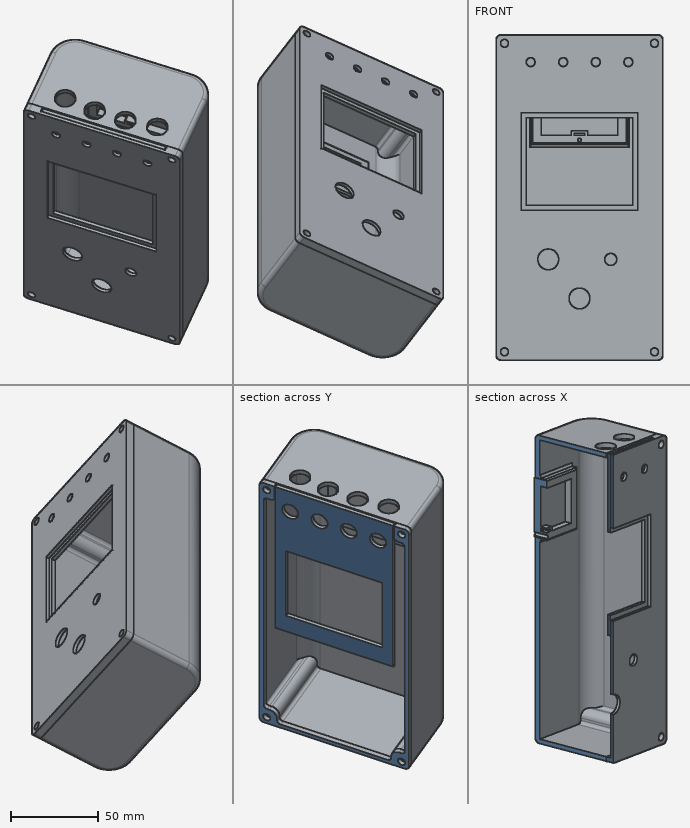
import cadquery as cq
WIDTH = 96.0
HEIGHT = 187.0
CASE_DEPTH = 58.5
PLATE_DEPTH = 5.0
WALL = 3.0
BACK_WALL = 4.0
BACK_CORNER_RADIUS = 15.0
END_FILLET = 3.0
INNER_CORNER_RADIUS = 10.1

SCREW_INSET = 4.9
SCREW_DIAMETER = 4.5
SCREW_DEPTH = 18.7
POST_SIDE = 11.6
POST_ROUND = 5.0
POST_FILLET = 2.0

SLOT_WIDTH = 76.5
PANEL_WIDTH = 75.5
SKIN = 2.0
PANEL_THICKNESS = 2.2
PANEL_BOTTOM = -16.8

WINDOW_Z = 20.8
WINDOW_WIDTH = 67.0
WINDOW_HEIGHT = 56.1
INNER_WINDOW_WIDTH = 61.3
INNER_WINDOW_HEIGHT = 50.1

ROW_STEPS = (-1.5, -0.5, 0.5, 1.5)
LAMP_SPACING = 18.7
LAMP_Z = 77.8
LAMP_DIAMETER = 5.0
LAMP_CLEARANCE_DIAMETER = 10.1
CONTROLS = [(-18.0, -35.5, 12.0), (18.0, -35.5, 7.0), (0, -58.0, 12.0)]

SOCKET_DIAMETER = 12.0
SOCKET_SPACING = 18.9
OUTER_SOCKET_Y = 15.5
INNER_SOCKET_Y = 13.5

HATCH_WIDTH = 53.9
HATCH_HEIGHT = 35.5
HATCH_Z = 49.2
HATCH_PROUD = 0.5
HATCH_INNER_Y = 49.5
HATCH_RIM_SIDE = 5.0
HATCH_RIM_END = 4.3
HATCH_FLOOR = 5.0
COLLAR_CHAMFER = 1.0
COLLAR_FOOT_DEPTH = 1.0
COLLAR_FOOT_SIDE = 0.7
COLLAR_FOOT_END = 1.7
CORD_HOLE_DIAMETER = 1.9
CORD_HOLE_DROP = 16.0
LOOP_WIDTH = 9.7
LOOP_HEIGHT = 2.6
LOOP_WALL = 1.9
LOOP_TOP_WALL = 1.3
LOOP_FILLET = 0.7

CASE_BACK_INNER = CASE_DEPTH - BACK_WALL
HATCH_BACK = CASE_DEPTH + HATCH_PROUD


def box(width, height, y_front, y_back, x=0.0, z=0.0):
    """Box centred on (x, z) that reaches from y_front to y_back."""
    return cq.Workplane("XY").box(width, y_back - y_front, height).translate((x, (y_front + y_back) / 2, z))


def bore(x, z, diameter, y_front, y_back):
    """Cylinder along Y from y_front to y_back."""
    return cq.Workplane("XZ", origin=(x, y_front, z)).circle(diameter / 2).extrude(y_front - y_back)


def rounded_block():
    """Outer shape shared by the housing and the front plate."""
    block = box(WIDTH, HEIGHT, 0, CASE_DEPTH)
    block = block.edges("|Z and >Y").fillet(BACK_CORNER_RADIUS)
    return block.faces("<Z or >Z").edges("not(<Y)").fillet(END_FILLET)


def screw_places():
    x = WIDTH / 2 - SCREW_INSET
    z = HEIGHT / 2 - SCREW_INSET
    return [(sx * x, sz * z) for sx in (-1, 1) for sz in (-1, 1)]


def lamp_places():
    return [(step * LAMP_SPACING, LAMP_Z) for step in ROW_STEPS]


def cavity(y_front, y_back):
    """Inside space between two depths: a cross that leaves a rounded post in each corner."""
    long_bay = box(WIDTH - 2 * POST_SIDE, HEIGHT - 2 * WALL, y_front, y_back)
    cross_bay = box(WIDTH - 2 * WALL, HEIGHT - 2 * POST_SIDE, y_front, y_back)
    long_bay = long_bay.edges("|Y").fillet(POST_FILLET)
    cross_bay = cross_bay.edges("|Y").fillet(POST_FILLET)
    margin = WALL + 2 * POST_FILLET
    post_corners = cq.selectors.BoxSelector(
        (-WIDTH / 2 + margin, 0, -HEIGHT / 2 + margin),
        (WIDTH / 2 - margin, CASE_DEPTH, HEIGHT / 2 - margin),
    )
    return long_bay.union(cross_bay).edges("|Y").edges(post_corners).fillet(POST_ROUND)


def collar_stage(y_front, y_back, front_size, back_size):
    """Ring stage around the hatch that grows from front_size to back_size."""
    stage = cq.Workplane("XZ", origin=(0, y_front, HATCH_Z)).rect(*front_size)
    return stage.workplane(offset=y_front - y_back).rect(*back_size).loft(ruled=True)


def collar():
    """Chamfered rim, straight body and sloped foot, still without the hatch opening."""
    rim_base = HATCH_INNER_Y + COLLAR_CHAMFER
    foot_top = CASE_BACK_INNER - COLLAR_FOOT_DEPTH
    rim_size = (HATCH_WIDTH, HATCH_HEIGHT)
    body_size = tuple(side + 2 * COLLAR_CHAMFER for side in rim_size)
    foot_size = (body_size[0] + 2 * COLLAR_FOOT_SIDE, body_size[1] + 2 * COLLAR_FOOT_END)
    ring = collar_stage(HATCH_INNER_Y, rim_base, rim_size, body_size)
    ring = ring.union(collar_stage(rim_base, foot_top, body_size, body_size))
    return ring.union(collar_stage(foot_top, CASE_BACK_INNER, body_size, foot_size))


def make_housing():
    housing = rounded_block().intersect(box(WIDTH, HEIGHT, PLATE_DEPTH, CASE_DEPTH))
    rounded_room = box(WIDTH - 2 * WALL, HEIGHT, PLATE_DEPTH, CASE_BACK_INNER)
    rounded_room = rounded_room.edges("|Z and >Y").fillet(INNER_CORNER_RADIUS)
    room = cavity(PLATE_DEPTH, CASE_BACK_INNER).intersect(rounded_room)
    housing = housing.cut(room).union(collar())
    housing = housing.cut(box(HATCH_WIDTH, HATCH_HEIGHT, HATCH_INNER_Y, CASE_DEPTH, z=HATCH_Z))
    for x, z in screw_places():
        housing = housing.cut(bore(x, z, SCREW_DIAMETER, PLATE_DEPTH, SCREW_DEPTH))
    for step in ROW_STEPS:
        y = OUTER_SOCKET_Y if abs(step) > 1 else INNER_SOCKET_Y
        socket = cq.Workplane("XY").circle(SOCKET_DIAMETER / 2).extrude(-2 * WALL)
        housing = housing.cut(socket.translate((step * SOCKET_SPACING, y, HEIGHT / 2)))
    return housing


def panel_box(width):
    """Flat box behind the skin, from the top end down to the lower edge of the panel."""
    height = HEIGHT / 2 - PANEL_BOTTOM
    return box(width, height, SKIN, SKIN + PANEL_THICKNESS, z=PANEL_BOTTOM + height / 2)


def make_plate():
    plate = rounded_block().intersect(box(WIDTH, HEIGHT, 0, PLATE_DEPTH))
    plate = plate.cut(cavity(SKIN, PLATE_DEPTH)).cut(panel_box(SLOT_WIDTH))
    plate = plate.cut(box(WINDOW_WIDTH, WINDOW_HEIGHT, 0, SKIN, z=WINDOW_Z))
    lamps = [(x, z, LAMP_DIAMETER) for x, z in lamp_places()]
    for x, z, diameter in lamps + CONTROLS:
        plate = plate.cut(bore(x, z, diameter, 0, SKIN))
    for x, z in screw_places():
        plate = plate.cut(bore(x, z, SCREW_DIAMETER, 0, PLATE_DEPTH))
    return plate


def make_panel():
    panel_back = SKIN + PANEL_THICKNESS
    panel = panel_box(PANEL_WIDTH)
    panel = panel.cut(box(INNER_WINDOW_WIDTH, INNER_WINDOW_HEIGHT, SKIN, panel_back, z=WINDOW_Z))
    for x, z in lamp_places():
        panel = panel.cut(bore(x, z, LAMP_CLEARANCE_DIAMETER, SKIN, panel_back))
    return panel


def cord_loop(pocket_bottom, pocket_back):
    """Small bridge that stands on the lower wall of the hatch pocket."""
    loop = box(LOOP_WIDTH, LOOP_HEIGHT, HATCH_INNER_Y, pocket_back, z=pocket_bottom + LOOP_HEIGHT / 2)
    loop = loop.edges("|Y and >Z").fillet(LOOP_FILLET)
    gap_height = LOOP_HEIGHT - LOOP_TOP_WALL
    gap_width = LOOP_WIDTH - 2 * LOOP_WALL
    return loop.cut(box(gap_width, gap_height, HATCH_INNER_Y, pocket_back, z=pocket_bottom + gap_height / 2))


def make_hatch():
    hatch = box(HATCH_WIDTH, HATCH_HEIGHT, HATCH_INNER_Y, HATCH_BACK, z=HATCH_Z)
    pocket_back = HATCH_BACK - HATCH_FLOOR
    pocket_width = HATCH_WIDTH - 2 * HATCH_RIM_SIDE
    pocket_height = HATCH_HEIGHT - 2 * HATCH_RIM_END
    hatch = hatch.cut(box(pocket_width, pocket_height, HATCH_INNER_Y, pocket_back, z=HATCH_Z))
    hatch = hatch.union(cord_loop(HATCH_Z - pocket_height / 2, pocket_back))
    cord_hole_z = HATCH_Z - CORD_HOLE_DROP
    return hatch.cut(bore(0, cord_hole_z, CORD_HOLE_DIAMETER, HATCH_INNER_Y, HATCH_BACK))


housing = make_housing()
plate = make_plate()
panel = make_panel()
hatch = make_hatch()
result = cq.Compound.makeCompound([housing.val(), plate.val(), panel.val(), hatch.val()])